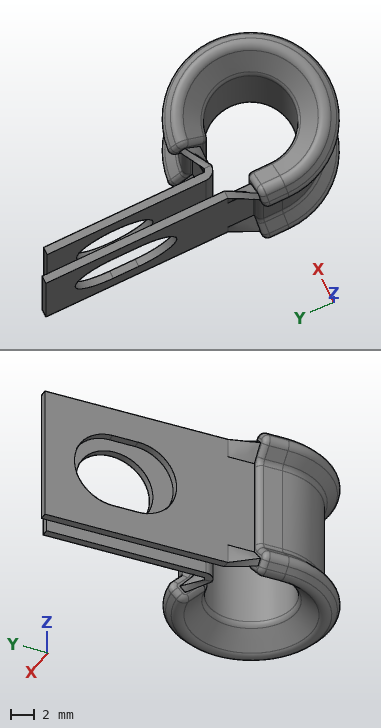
import cadquery as cq
import math

outer_diameter = 14.95
outer_radius = outer_diameter / 2
cushion_height = 14.3
bore_radius = 3.98
wall = 2.2
edge_fillet = 0.75
end_fillet = 0.53
straight_length = 2.28
wrap_angle = 270

strap_thickness = 0.7
strap_inner_radius = 4.75
strap_outer_radius = strap_inner_radius + strap_thickness
strap_width = 12.58

flare_root_height = 4.5
flare_spread = 1.23
flare_rise = 1.4
flare_edge_step = strap_thickness / math.sqrt(2)
long_tab_flare_length = 2.45
short_tab_flare_length = 2.25

overall_length = 29.25
long_tab_end = overall_length - outer_radius
short_tab_end = 20.6
bend_inner_radius = 0.3
bend_outer_radius = bend_inner_radius + strap_thickness
hole_diameter = 7.15
slot_length = 9.5
hole_center_y = 14.28


def cushion_section():
    """Wall section in radius and height, with every corner rounded by the same fillet."""
    fillet_overhang = edge_fillet * (math.sqrt(2) - 1)
    groove_radius = bore_radius + wall
    miter = wall * math.tan(math.radians(22.5))
    tip_radius = outer_radius + fillet_overhang
    crest_height = cushion_height / 2 + fillet_overhang
    crest_radius = tip_radius - wall / math.sqrt(2)
    tip_height = crest_height - wall / math.sqrt(2)
    groove_height = tip_height - (tip_radius - groove_radius)
    bore_height = groove_height + miter
    upper = [
        (bore_radius, bore_height),
        (crest_radius, crest_height),
        (tip_radius, tip_height),
        (groove_radius, groove_height),
    ]
    lower = [(radius, -height) for radius, height in reversed(upper)]
    corners = upper + lower
    return cq.Sketch().polygon(corners + corners[:1]).vertices().fillet(edge_fillet)


def make_cushion():
    """Round wrap plus a short straight run on the -X side, with both end faces rounded over."""
    section = cushion_section()
    wrap = (
        cq.Workplane("XZ")
        .placeSketch(section)
        .revolve(wrap_angle, (0, 0, 0), (0, 1, 0))
        .rotate((0, 0, 0), (0, 0, 1), 180)
    )
    straight_plane = cq.Plane(origin=(0, 0, 0), xDir=(-1, 0, 0), normal=(0, 1, 0))
    straight = cq.Workplane(straight_plane).placeSketch(section).extrude(straight_length)
    cushion = wrap.union(straight)
    straight_end = cq.selectors.NearestToPointSelector((-strap_inner_radius, straight_length, 0))
    wrap_end = cq.selectors.NearestToPointSelector((0, strap_inner_radius, 0))
    for end_face in (straight_end, wrap_end):
        cushion = cushion.faces("%PLANE").faces(end_face).edges().fillet(end_fillet)
    return cushion


def box_between(low_corner, high_corner):
    """Axis-aligned box given by its two opposite corners."""
    sizes = [high - low for low, high in zip(low_corner, high_corner)]
    return cq.Workplane("XY").box(*sizes, centered=False).translate(low_corner)


def flare_edge(length):
    """One strap edge, flared upwards and outwards at y = 0 and flat at y = length."""
    tip_radius = strap_outer_radius + flare_spread
    tip_height = flare_root_height + flare_rise
    flared = [
        (-strap_inner_radius, flare_root_height),
        (-strap_outer_radius, flare_root_height),
        (-tip_radius, tip_height),
        (-tip_radius + flare_edge_step, tip_height + flare_edge_step),
    ]
    flat = [
        (-strap_inner_radius, flare_root_height),
        (-strap_outer_radius, flare_root_height),
        (-strap_outer_radius, strap_width / 2),
        (-strap_inner_radius, strap_width / 2),
    ]
    wires = [
        cq.Wire.makePolygon([cq.Vector(x, y, z) for x, z in corners], close=True)
        for y, corners in ((0, flared), (length, flat))
    ]
    return cq.Workplane(obj=cq.Solid.makeLoft(wires, True))


def make_transition(length):
    """Strap leaving a cushion end at y = 0: a flat middle band between two flared edges."""
    band = box_between(
        (-strap_outer_radius, 0, -flare_root_height),
        (-strap_inner_radius, length, flare_root_height),
    )
    edge = flare_edge(length)
    return band.union(edge).union(edge.mirror("XY"))


def make_long_tab():
    """Straight tab on the -X side with a slot along Y."""
    tab_start = straight_length + long_tab_flare_length
    tab = box_between(
        (-strap_outer_radius, tab_start, -strap_width / 2),
        (-strap_inner_radius, long_tab_end, strap_width / 2),
    )
    slot = (
        cq.Workplane("YZ", origin=(-strap_outer_radius, hole_center_y, 0))
        .slot2D(slot_length, hole_diameter)
        .extrude(strap_thickness)
    )
    transition = make_transition(long_tab_flare_length).translate((0, straight_length, 0))
    return tab.cut(slot).union(transition)


def make_short_tab():
    """Tab with a round hole, joined by a right-angle bend to the wrap end of the cushion."""
    bend_x = -short_tab_flare_length
    bend_y = strap_outer_radius + bend_inner_radius
    inner_x = bend_x - bend_inner_radius
    outer_x = bend_x - bend_outer_radius
    arc_direction = -math.sqrt(0.5)
    inner_mid = bend_inner_radius * arc_direction
    outer_mid = bend_outer_radius * arc_direction
    tab = (
        cq.Workplane("XY", origin=(0, 0, -strap_width / 2))
        .moveTo(bend_x, strap_inner_radius)
        .threePointArc((bend_x + outer_mid, bend_y + outer_mid), (outer_x, bend_y))
        .lineTo(outer_x, short_tab_end)
        .lineTo(inner_x, short_tab_end)
        .lineTo(inner_x, bend_y)
        .threePointArc((bend_x + inner_mid, bend_y + inner_mid), (bend_x, strap_outer_radius))
        .close()
        .extrude(strap_width)
    )
    hole = (
        cq.Workplane("YZ", origin=(outer_x, hole_center_y, 0))
        .circle(hole_diameter / 2)
        .extrude(strap_thickness)
    )
    transition = (
        make_transition(short_tab_flare_length)
        .mirror("YZ")
        .rotate((0, 0, 0), (0, 0, 1), 90)
    )
    return tab.cut(hole).union(transition)


result = make_cushion().union(make_long_tab()).union(make_short_tab())